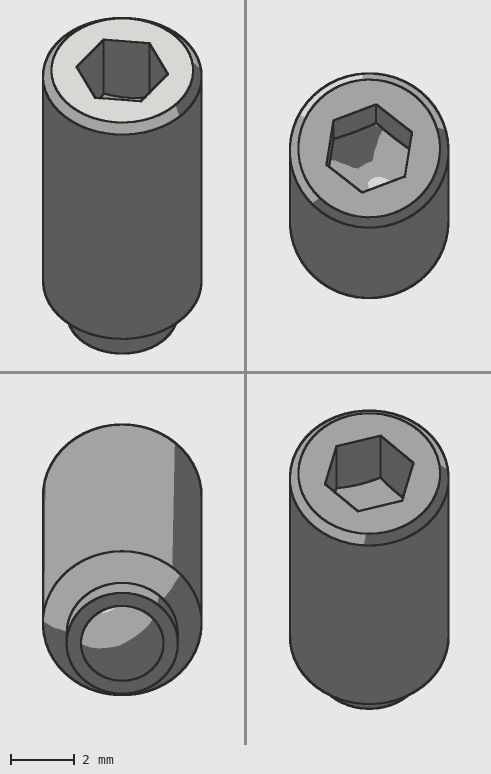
import cadquery as cq
import math

overall_length = 12.0
body_diameter = 5.0
top_chamfer = 0.27
nose_diameter = 3.5
nose_length = 0.75
ball_diameter = 3.0
ball_protrusion = 0.75
hex_across_flats = 2.5
hex_depth = 2.5
drill_point_angle = 120.0

body_radius = body_diameter / 2
nose_radius = nose_diameter / 2
ball_radius = ball_diameter / 2
taper_height = body_radius - nose_radius
nose_bottom = ball_protrusion
nose_top = nose_bottom + nose_length
taper_top = nose_top + taper_height
hex_across_corners = hex_across_flats / math.cos(math.pi / 6)
drill_point_slope = 1 / math.tan(math.radians(drill_point_angle / 2))
drill_tip = overall_length - hex_depth - hex_across_corners / 2 * drill_point_slope


def make_ball():
    """Thrust ball with its lowest point at Z = 0."""
    return cq.Workplane("XY").sphere(ball_radius).translate((0, 0, ball_radius))


def make_socket_cutter():
    """Hexagon socket with corners on the X axis and a conical drill-point floor."""
    hexagon = (
        cq.Workplane("XY")
        .workplane(offset=drill_tip)
        .polygon(6, hex_across_corners)
        .extrude(overall_length - drill_tip)
    )
    pointed_bore = (
        cq.Workplane("XZ")
        .moveTo(0, drill_tip)
        .lineTo(body_radius, drill_tip + body_radius * drill_point_slope)
        .lineTo(body_radius, overall_length)
        .lineTo(0, overall_length)
        .close()
        .revolve(360, (0, 0, 0), (0, 1, 0))
    )
    return hexagon.intersect(pointed_bore)


def make_screw():
    """Set screw: chamfered shank, tapered end and short nose that holds the ball."""
    blank = (
        cq.Workplane("XZ")
        .moveTo(0, nose_bottom)
        .lineTo(nose_radius, nose_bottom)
        .lineTo(nose_radius, nose_top)
        .lineTo(body_radius, taper_top)
        .lineTo(body_radius, overall_length - top_chamfer)
        .lineTo(body_radius - top_chamfer, overall_length)
        .lineTo(0, overall_length)
        .close()
        .revolve(360, (0, 0, 0), (0, 1, 0))
    )
    return blank.cut(make_socket_cutter()).cut(make_ball())


screw = make_screw()
ball = make_ball()

result = cq.Compound.makeCompound([screw.val(), ball.val()])